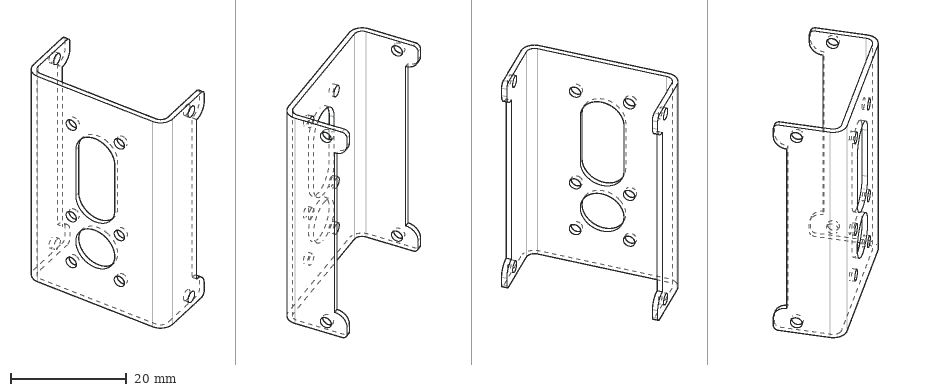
import cadquery as cq

width = 28.7
depth = 12.55
height = 44.5
thickness = 1.0
bend_radius = 2.5

ear_projection = 2.4
ear_height = 5.0
ear_corner_radius = 1.0
ear_hole_inset_y = 4.1
ear_hole_inset_z = 2.2

screw_hole_diameter = 2.1
opening_width = 8.0
slot_length = 18.0
slot_center_z = 4.65
round_center_z = -10.25
screw_pitch = 9.92
lowest_screw_z = -15.2
screw_rows = (0, 1, 3)

front_y = -depth / 2
back_y = depth / 2


def make_channel():
    """Bent U section, extruded over the full height."""
    outer = (
        cq.Workplane("XY")
        .box(width, depth, height)
        .edges("|Z and <Y")
        .fillet(bend_radius)
    )
    inner = (
        cq.Workplane("XY")
        .box(width - 2 * thickness, depth, height)
        .translate((0, thickness, 0))
        .edges("|Z and <Y")
        .fillet(bend_radius - thickness)
    )
    return outer.cut(inner)


def make_flange_recess():
    """Cutter that leaves an ear with a convex heel at each end of both flanges."""
    recess_y = back_y - ear_projection
    half_recess = height / 2 - ear_height
    half_mouth = half_recess + ear_projection
    return (
        cq.Workplane("YZ")
        .moveTo(recess_y, -half_recess)
        .lineTo(recess_y, half_recess)
        .radiusArc((back_y, half_mouth), -ear_projection)
        .lineTo(back_y, -half_mouth)
        .radiusArc((recess_y, -half_recess), -ear_projection)
        .close()
        .extrude(width / 2, both=True)
    )


def make_ear_holes():
    hole_y = back_y - ear_hole_inset_y
    hole_z = height / 2 - ear_hole_inset_z
    return (
        cq.Workplane("YZ")
        .pushPoints([(hole_y, -hole_z), (hole_y, hole_z)])
        .circle(screw_hole_diameter / 2)
        .extrude(width / 2, both=True)
    )


def make_web_openings():
    """Slot, round opening and screw holes, all through the web only."""
    web = cq.Workplane("XZ", origin=(0, front_y + thickness, 0))
    slot = web.center(0, slot_center_z).slot2D(slot_length, opening_width, 90).extrude(thickness)
    round_opening = web.center(0, round_center_z).circle(opening_width / 2).extrude(thickness)
    screw_points = [
        (side * screw_pitch / 2, lowest_screw_z + row * screw_pitch)
        for side in (-1, 1)
        for row in screw_rows
    ]
    screws = web.pushPoints(screw_points).circle(screw_hole_diameter / 2).extrude(thickness)
    return slot.union(round_opening).union(screws)


channel = make_channel().cut(make_flange_recess())
channel = channel.faces(">Y").edges("|X and (>Z or <Z)").fillet(ear_corner_radius)
result = channel.cut(make_ear_holes()).cut(make_web_openings())